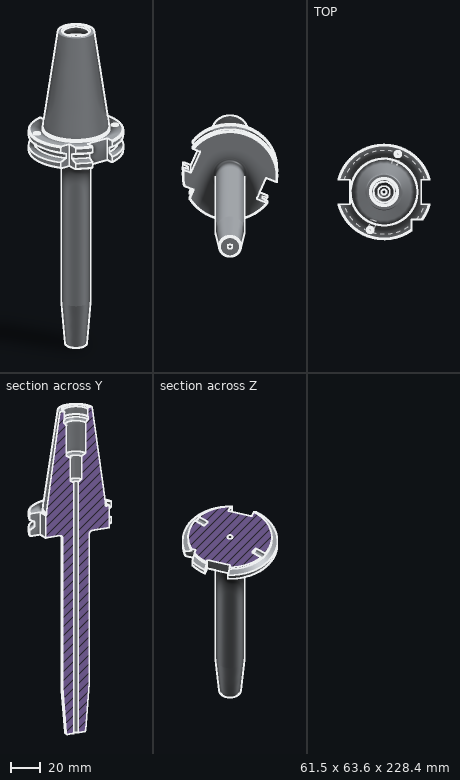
import cadquery as cq
import math

TAPER_LENGTH = 68.4
PROJECTION = 160.0

GAUGE_DIAMETER = 44.45
TAPER_RATE = 7 / 24
TAPER_END_FILLET = 1.0

RELIEF_TOP = -1.4
RELIEF_BOTTOM = -2.8
RELIEF_DEPTH = 0.4
RELIEF_SIDE_HEIGHT = 0.5
COLLAR_DIAMETER = 45.0

FLANGE_DIAMETER = 63.55
FLANGE_TOP = -3.2
FLANGE_BOTTOM = -19.1
FLANGE_CHAMFER = 0.7

GROOVE_CENTRE = -11.1
GROOVE_FLOOR_DIAMETER = 56.25
GROOVE_FLOOR_WIDTH = 3.1
GROOVE_FLANK_ANGLE = 30.0

SHANK_DIAMETER = 20.0
SHANK_FILLET = 2.5
NOSE_LENGTH = 32.0
NOSE_ANGLE = 4.5
NOSE_CHAMFER = 0.8

SLOT_WIDTH = 16.1
SLOT_WALL_LEFT = -22.8
SLOT_WALL_RIGHT = 25.0
NOTCH_WALL = 18.5

BORE_MOUTH_DIAMETER = 19.0
BORE_DIAMETER = 17.0
BORE_DEPTH = 9.0
UNDERCUT_WIDTH = 2.8
UNDERCUT_DEPTH = 0.5
THREAD_DIAMETER = 14.0
THREAD_DEPTH = 32.0
CONE_END_DIAMETER = 8.0
PASSAGE_DIAMETER = 3.2
PASSAGE_CONE_DEPTH = 50.0
CONE_HALF_ANGLE = 59.0

COOLANT_ANGLES = (70.0, 250.0)
COOLANT_CIRCLE_RADIUS = 27.0
COOLANT_DIAMETER = 4.0
COOLANT_CHAMFER = 0.3
PLUG_DEPTH = 1.0
PLUG_SOCKET_DIAMETER = 2.0
PLUG_SOCKET_DEPTH = 2.0
CROSS_HOLE_DIAMETER = 4.0
CROSS_HOLE_DEPTH = 8.0


def spin(outline):
    """Revolve a closed half-outline a full turn about the Z axis."""
    return outline.revolve(360, (0, 0, 0), (0, 1, 0))


def body():
    """Taper, flange, shank and nose as one revolved outline."""
    gauge_radius = GAUGE_DIAMETER / 2
    taper_end_radius = gauge_radius - TAPER_LENGTH * TAPER_RATE / 2
    taper_base_radius = gauge_radius - RELIEF_TOP * TAPER_RATE / 2
    relief_radius = taper_base_radius - RELIEF_DEPTH
    collar_radius = COLLAR_DIAMETER / 2
    flange_radius = FLANGE_DIAMETER / 2
    groove_floor_radius = GROOVE_FLOOR_DIAMETER / 2
    floor_half = GROOVE_FLOOR_WIDTH / 2
    flank_height = (flange_radius - groove_floor_radius) * math.tan(math.radians(GROOVE_FLANK_ANGLE))
    mouth_half = floor_half + flank_height
    shank_radius = SHANK_DIAMETER / 2
    nose_end_radius = shank_radius - NOSE_LENGTH * math.tan(math.radians(NOSE_ANGLE))
    fillet_mid = SHANK_FILLET * (1 - math.sqrt(0.5))

    outline = (
        cq.Workplane("XZ")
        .moveTo(0, TAPER_LENGTH)
        .lineTo(taper_end_radius, TAPER_LENGTH)
        .lineTo(taper_base_radius, RELIEF_TOP)
        .lineTo(relief_radius, RELIEF_TOP - RELIEF_SIDE_HEIGHT)
        .lineTo(relief_radius, RELIEF_BOTTOM + RELIEF_SIDE_HEIGHT)
        .lineTo(collar_radius, RELIEF_BOTTOM)
        .lineTo(collar_radius, FLANGE_TOP)
        .lineTo(flange_radius - FLANGE_CHAMFER, FLANGE_TOP)
        .lineTo(flange_radius, FLANGE_TOP - FLANGE_CHAMFER)
        .lineTo(flange_radius, GROOVE_CENTRE + mouth_half)
        .lineTo(groove_floor_radius, GROOVE_CENTRE + floor_half)
        .lineTo(groove_floor_radius, GROOVE_CENTRE - floor_half)
        .lineTo(flange_radius, GROOVE_CENTRE - mouth_half)
        .lineTo(flange_radius, FLANGE_BOTTOM + FLANGE_CHAMFER)
        .lineTo(flange_radius - FLANGE_CHAMFER, FLANGE_BOTTOM)
        .lineTo(shank_radius + SHANK_FILLET, FLANGE_BOTTOM)
        .threePointArc(
            (shank_radius + fillet_mid, FLANGE_BOTTOM - fillet_mid),
            (shank_radius, FLANGE_BOTTOM - SHANK_FILLET),
        )
        .lineTo(shank_radius, NOSE_LENGTH - PROJECTION)
        .lineTo(nose_end_radius, NOSE_CHAMFER - PROJECTION)
        .lineTo(nose_end_radius - NOSE_CHAMFER, -PROJECTION)
        .lineTo(0, -PROJECTION)
        .close()
    )
    return spin(outline).faces(">Z").edges().fillet(TAPER_END_FILLET)


def bore():
    """Stepped bore that narrows to a coolant passage through the nose."""
    mouth_radius = BORE_MOUTH_DIAMETER / 2
    bore_radius = BORE_DIAMETER / 2
    undercut_radius = bore_radius + UNDERCUT_DEPTH
    thread_radius = THREAD_DIAMETER / 2
    cone_end_radius = CONE_END_DIAMETER / 2
    passage_radius = PASSAGE_DIAMETER / 2
    cone_slope = math.tan(math.radians(CONE_HALF_ANGLE))
    ledge = TAPER_LENGTH - BORE_DEPTH
    thread_end = TAPER_LENGTH - THREAD_DEPTH
    passage_cone = TAPER_LENGTH - PASSAGE_CONE_DEPTH

    outline = (
        cq.Workplane("XZ")
        .moveTo(0, TAPER_LENGTH)
        .lineTo(mouth_radius, TAPER_LENGTH)
        .lineTo(bore_radius, TAPER_LENGTH - (mouth_radius - bore_radius))
        .lineTo(bore_radius, ledge + UNDERCUT_WIDTH)
        .lineTo(undercut_radius, ledge + UNDERCUT_WIDTH - UNDERCUT_DEPTH)
        .lineTo(undercut_radius, ledge + UNDERCUT_DEPTH)
        .lineTo(bore_radius, ledge)
        .lineTo(thread_radius, ledge - (bore_radius - thread_radius))
        .lineTo(thread_radius, thread_end)
        .lineTo(cone_end_radius, thread_end - (thread_radius - cone_end_radius) / cone_slope)
        .lineTo(cone_end_radius, passage_cone)
        .lineTo(passage_radius, passage_cone - (cone_end_radius - passage_radius) / cone_slope)
        .lineTo(passage_radius, -PROJECTION)
        .lineTo(0, -PROJECTION)
        .close()
    )
    return spin(outline)


def flange_cutter(x_range, y_range):
    """Block running the full height of the flange."""
    width = x_range[1] - x_range[0]
    depth = y_range[1] - y_range[0]
    return (
        cq.Workplane("XY")
        .box(width, depth, FLANGE_TOP - FLANGE_BOTTOM, centered=False)
        .translate((x_range[0], y_range[0], FLANGE_BOTTOM))
    )


def coolant_hole(angle):
    """Plugged axial hole in the flange top with a radial hole in the groove below it."""
    top = cq.Workplane("XY", origin=(COOLANT_CIRCLE_RADIUS, 0, FLANGE_TOP))
    hole = top.circle(COOLANT_DIAMETER / 2).extrude(-PLUG_DEPTH)
    countersink = (
        top.circle(COOLANT_DIAMETER / 2 + COOLANT_CHAMFER)
        .workplane(offset=-COOLANT_CHAMFER)
        .circle(COOLANT_DIAMETER / 2)
        .loft()
    )
    socket = top.circle(PLUG_SOCKET_DIAMETER / 2).extrude(-PLUG_DEPTH - PLUG_SOCKET_DEPTH)
    radial = (
        cq.Workplane("YZ", origin=(GROOVE_FLOOR_DIAMETER / 2, 0, GROOVE_CENTRE))
        .circle(CROSS_HOLE_DIAMETER / 2)
        .extrude(-CROSS_HOLE_DEPTH)
    )
    return hole.union(countersink).union(socket).union(radial).rotate((0, 0, 0), (0, 0, 1), angle)


half_slot = SLOT_WIDTH / 2
outside = FLANGE_DIAMETER

result = body().cut(bore())
result = result.cut(flange_cutter((-outside, SLOT_WALL_LEFT), (-half_slot, half_slot)))
result = result.cut(flange_cutter((SLOT_WALL_RIGHT, outside), (-half_slot, half_slot)))
result = result.cut(flange_cutter((NOTCH_WALL, outside), (-outside, -NOTCH_WALL)))
for coolant_angle in COOLANT_ANGLES:
    result = result.cut(coolant_hole(coolant_angle))